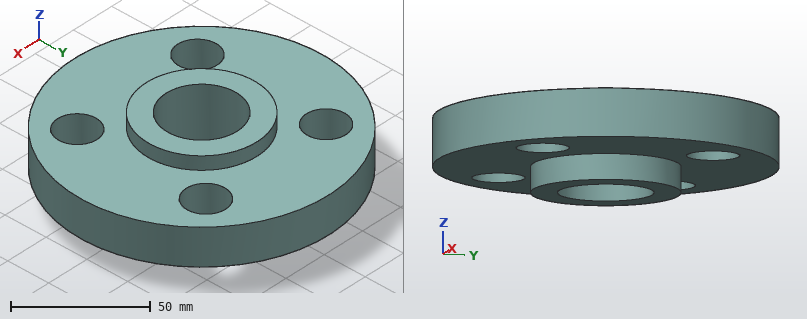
import cadquery as cq

flange_diameter = 123.95
flange_thickness = 17.53

hub_diameter = 53.85
upper_hub_height = 6.35
lower_hub_height = 9.39
bore_diameter = 34.54

bolt_circle_diameter = 88.9
bolt_hole_diameter = 19.05
bolt_hole_count = 4
first_bolt_angle = 45

total_height = lower_hub_height + flange_thickness + upper_hub_height


def flange_plate():
    """Round plate standing on the lower hub ring."""
    plate = cq.Workplane("XY").workplane(offset=lower_hub_height)
    return plate.circle(flange_diameter / 2).extrude(flange_thickness)


def hub():
    """Cylinder running the full height, standing proud of both plate faces."""
    return cq.Workplane("XY").circle(hub_diameter / 2).extrude(total_height)


def bore():
    """Central through hole."""
    return cq.Workplane("XY").circle(bore_diameter / 2).extrude(total_height)


def bolt_holes():
    """Equally spaced through holes on the bolt circle."""
    return (
        cq.Workplane("XY")
        .polarArray(bolt_circle_diameter / 2, first_bolt_angle, 360, bolt_hole_count)
        .circle(bolt_hole_diameter / 2)
        .extrude(total_height)
    )


result = flange_plate().union(hub()).cut(bore()).cut(bolt_holes())